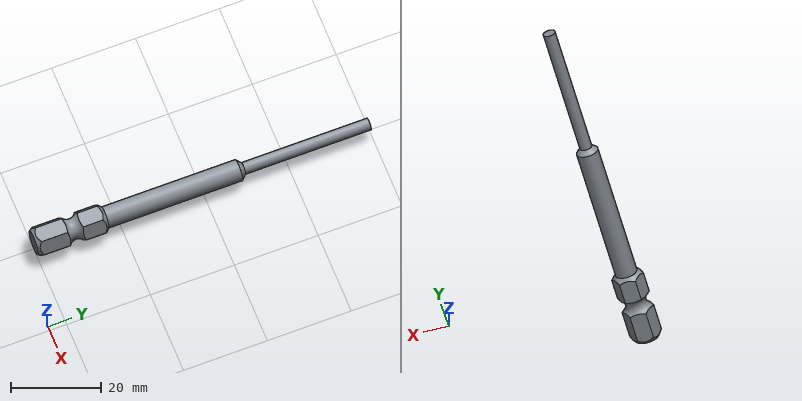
import cadquery as cq
import math

hex_across_flats = 6.35
hex_across_corners = hex_across_flats / math.cos(math.radians(30))
corner_radius = hex_across_corners / 2

overall_length = 80.0
pin_length = 30.0
pin_radius = 2.8 / 2
shaft_radius = 5.0 / 2
shoulder_y = overall_length - pin_length

end_face_radius = 2.8
end_chamfer_length = 1.2
hex_length = 17.0
hex_cone = corner_radius - shaft_radius

shoulder_cone = shaft_radius - pin_radius

groove_center_y = 9.25
groove_arc_radius = 2.0
groove_bottom_radius = 2.4
groove_depth = corner_radius - groove_bottom_radius
groove_half_width = math.sqrt(groove_arc_radius**2 - (groove_arc_radius - groove_depth) ** 2)


def turned_envelope():
    """Solid of revolution holding every round, conical and grooved surface."""
    profile = (
        cq.Workplane("XY")
        .moveTo(0, 0)
        .lineTo(end_face_radius, 0)
        .lineTo(corner_radius, end_chamfer_length)
        .lineTo(corner_radius, groove_center_y - groove_half_width)
        .threePointArc(
            (groove_bottom_radius, groove_center_y),
            (corner_radius, groove_center_y + groove_half_width),
        )
        .lineTo(corner_radius, hex_length - hex_cone)
        .lineTo(shaft_radius, hex_length)
        .lineTo(shaft_radius, shoulder_y - shoulder_cone)
        .lineTo(pin_radius, shoulder_y)
        .lineTo(pin_radius, overall_length)
        .lineTo(0, overall_length)
        .close()
    )
    return profile.revolve(360, (0, 0, 0), (0, 1, 0))


def hex_bar():
    """Full-length hexagonal bar with corners on the X axis."""
    return cq.Workplane("XZ").polygon(6, hex_across_corners).extrude(-overall_length)


result = turned_envelope().intersect(hex_bar())